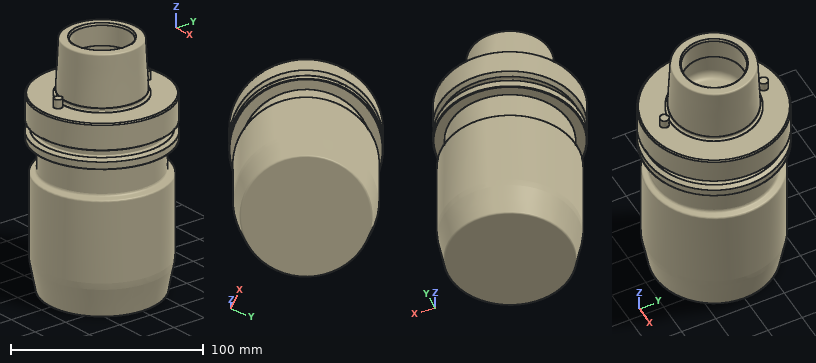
import cadquery as cq
import math


shank_height = 31.8
taper_gauge_radius = 48.01 / 2
taper_gauge_height = 6.3
shank_taper = 0.05
taper_foot_height = 2.0
land_radius = 47.94 / 2
land_top = 1.65
shank_tip_fillet = 1.0

relief_radius = 25.4
relief_depth = 0.2
relief_fillet = 0.65

bore_radius = 34.05 / 2
mouth_radius = 17.7
mouth_angle = 30.0
undercut_radius = 40.08 / 2
undercut_top = 19.1
bore_floor = 2.1
floor_flat_radius = 15.65

flange_radius = 40.0
flange_height = 26.0
flange_top_chamfer = 0.75
flange_bottom_chamfer = 0.4
groove_radius = 35.0
groove_ledge_radius = 37.5
groove_middle = -18.2
groove_width = 3.9
groove_cone_angle = 30.0
groove_fillet = 0.4

neck_radius = 34.0
body_radius = 38.0
shoulder_top = -43.45
shoulder_angle = 15.0
shoulder_inner_fillet = 1.5
shoulder_outer_fillet = 1.2
nose_start = -93.3
nose_bottom = -112.1
nose_radius = 34.4
nose_blend = 20.0
nose_fillet = 1.0

pin_diameter = 5.0
pin_height = 5.0
pin_root = 1.0
pin_circle_radius = 29.0

match_tolerance = 0.01


def slope(degrees):
    """Rise over run of an angle."""
    return math.tan(math.radians(degrees))


shoulder_bottom = shoulder_top - (body_radius - neck_radius) * slope(shoulder_angle)


def fillet_ring(part, z, radius, fillet):
    """Round the circular edge that has the given radius at height z."""
    rings = [
        edge
        for edge in part.edges("%CIRCLE").vals()
        if abs(edge.radius() - radius) < match_tolerance
        and abs(edge.Center().z - z) < match_tolerance
    ]
    return part.newObject(rings).fillet(fillet)


def revolve_outline(points):
    """Turn a closed (radius, height) outline about the Z axis."""
    return cq.Workplane("XZ").polyline(points).close().revolve(360, (0, 0), (0, 1))


def taper_radius(z):
    """Radius of the shank taper at height z."""
    return taper_gauge_radius - shank_taper * (z - taper_gauge_height)


def make_shank():
    tip_radius = taper_radius(shank_height)
    shank = revolve_outline([
        (0, -relief_depth),
        (land_radius, -relief_depth),
        (land_radius, land_top),
        (taper_radius(taper_foot_height), taper_foot_height),
        (tip_radius, shank_height),
        (0, shank_height),
    ])
    return fillet_ring(shank, shank_height, tip_radius, shank_tip_fillet)


def make_body():
    body = revolve_outline([
        (0, nose_bottom),
        (nose_radius, nose_bottom),
        (body_radius, nose_start),
        (body_radius, shoulder_bottom),
        (neck_radius, shoulder_top),
        (neck_radius, -flange_height),
        (0, -flange_height),
    ])
    body = fillet_ring(body, shoulder_top, neck_radius, shoulder_inner_fillet)
    body = fillet_ring(body, shoulder_bottom, body_radius, shoulder_outer_fillet)
    body = fillet_ring(body, nose_start, body_radius, nose_blend)
    return body.faces("<Z").edges().fillet(nose_fillet)


def make_flange():
    flange = cq.Workplane("XY").circle(flange_radius).extrude(-flange_height)
    flange = flange.faces(">Z").chamfer(flange_top_chamfer)
    flange = flange.faces("<Z").chamfer(flange_bottom_chamfer)
    return flange.cut(make_groove()).cut(make_relief())


def make_groove():
    """Ring to remove: a straight slot that opens out in a cone on each side."""
    half_width = groove_width / 2
    rim = half_width + (flange_radius - groove_ledge_radius) * slope(groove_cone_angle)
    bottom = groove_middle - half_width
    top = groove_middle + half_width
    groove = revolve_outline([
        (groove_radius, bottom),
        (groove_ledge_radius, bottom),
        (flange_radius, groove_middle - rim),
        (flange_radius, groove_middle + rim),
        (groove_ledge_radius, top),
        (groove_radius, top),
    ])
    for z in (bottom, top):
        groove = fillet_ring(groove, z, groove_radius, groove_fillet)
    return groove


def make_relief():
    """Shallow round recess in the flange face around the shank."""
    return cq.Workplane("XY").circle(relief_radius).extrude(-relief_depth)


def make_bore():
    mouth_depth = (mouth_radius - bore_radius) / slope(mouth_angle)
    bore = revolve_outline([
        (0, bore_floor),
        (undercut_radius, bore_floor),
        (undercut_radius, undercut_top),
        (bore_radius, undercut_top),
        (bore_radius, shank_height - mouth_depth),
        (mouth_radius, shank_height),
        (0, shank_height),
    ])
    return bore.faces("<Z").edges().fillet(undercut_radius - floor_flat_radius)


def make_pins():
    """Pins that reach a little into the flange so that they join it."""
    places = [(0, -pin_circle_radius), (0, pin_circle_radius)]
    pins = cq.Workplane("XY").workplane(offset=-pin_root)
    return pins.pushPoints(places).circle(pin_diameter / 2).extrude(pin_root + pin_height)


holder = make_body().union(make_flange()).union(make_shank())
holder = fillet_ring(holder, -relief_depth, land_radius, relief_fillet)
result = holder.cut(make_bore()).union(make_pins())